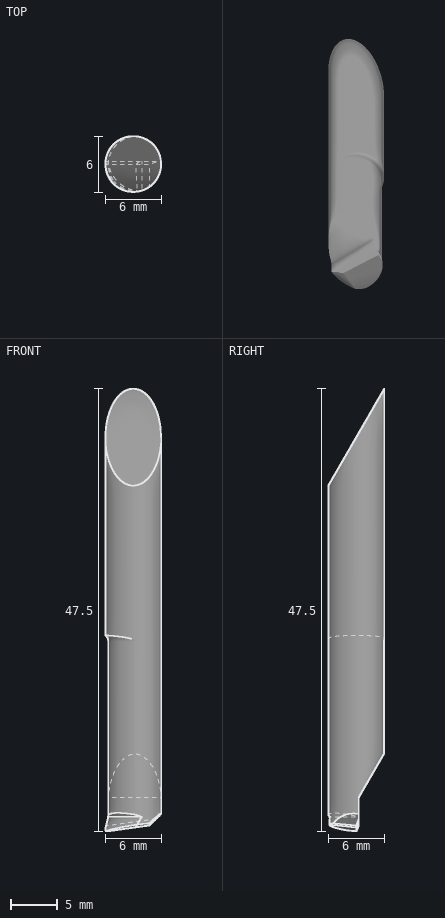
import cadquery as cq
import math

LENGTH = 47.45
BAR_RADIUS = 3.0
END_SLOPE = math.tan(math.radians(60.0))

NECK_SHIFT = 0.3
NECK_TOP = 20.4
NECK_FILLET = 0.8

FLAT_Y = 0.28
FLAT_TOP = 3.65
CHIP_FACE_HEIGHT = 0.65

END_ANGLE_X = math.radians(8.0)
END_SLOPE_X = math.tan(END_ANGLE_X)
END_SLOPE_Y = math.tan(math.radians(5.5))
CHAMFER_X = 1.72

FLANK_TOP = 1.57
FLANK_LEAN_X = 0.25
FLANK_LEAN_Y = 0.09
FLANK_CENTER_X = 0.4
FLANK_CENTER_Y = 0.51
FLARE = 0.6
FLANK_FILLET = 0.4

NOSE_RADIUS = 0.2
END_BASE_Z = NOSE_RADIUS * (1 - END_SLOPE_X - 1 / math.cos(END_ANGLE_X))
FLANK_EDGE_X = -BAR_RADIUS + NOSE_RADIUS * (1 - FLANK_LEAN_X - math.hypot(1, FLANK_LEAN_X))
FLANK_RADIUS = math.hypot(FLANK_CENTER_X - FLANK_EDGE_X, FLANK_CENTER_Y)

TIP_SIDE_TOP_X = 0.9
TIP_SIDE_BOTTOM_X = 0.4
TIP_SIDE_BOTTOM_Z = 0.7

MARGIN = 5.0
REACH = BAR_RADIUS + MARGIN
SELECT_TOLERANCE = 0.1


def bar():
    return cq.Workplane("XY").circle(BAR_RADIUS).extrude(LENGTH)


def slanted_end_cut():
    """Wedge above the slanted top face, which peaks at +Y."""
    low = LENGTH - END_SLOPE * (BAR_RADIUS + REACH)
    high = LENGTH + END_SLOPE * (REACH - BAR_RADIUS)
    return (
        cq.Workplane("YZ")
        .polyline([(-REACH, low), (REACH, high), (-REACH, high)])
        .close()
        .extrude(REACH, both=True)
    )


def neck_cut():
    """Ring around the neck cylinder, closed by a fillet at its top."""
    outer = BAR_RADIUS + NECK_FILLET
    return (
        cq.Workplane("XZ")
        .moveTo(BAR_RADIUS, FLANK_TOP)
        .lineTo(BAR_RADIUS, NECK_TOP)
        .radiusArc((outer, NECK_TOP + NECK_FILLET), NECK_FILLET)
        .lineTo(outer, FLANK_TOP)
        .close()
        .revolve(360, (0, 0, 0), (0, 1, 0))
        .translate((NECK_SHIFT, 0, 0))
    )


def end_height(x):
    """Height of the cutting edge, on the plane Y = 0."""
    return END_BASE_Z + END_SLOPE_X * (x + BAR_RADIUS)


def nose_point(center_x, angle):
    """Point (x, z) of the nose arc at an angle measured from +X toward +Z."""
    return (center_x + NOSE_RADIUS * math.cos(angle), NOSE_RADIUS * (1 + math.sin(angle)))


def end_cut():
    """Material below the rounded nose, the end face and its chamfer, all rising toward -Y."""
    nose_x = -BAR_RADIUS + NOSE_RADIUS
    flank_angle = math.atan(FLANK_LEAN_X)
    arc_start = nose_point(nose_x, math.pi + flank_angle)
    arc_end = nose_point(nose_x, 1.5 * math.pi + END_ANGLE_X)
    arc_middle = nose_point(nose_x, 1.25 * math.pi + (flank_angle + END_ANGLE_X) / 2)
    chamfer_z = end_height(CHAMFER_X)
    profile = (
        cq.Workplane("XZ")
        .moveTo(-REACH, arc_start[1])
        .lineTo(*arc_start)
        .threePointArc(arc_middle, arc_end)
        .lineTo(CHAMFER_X, chamfer_z)
        .lineTo(REACH, chamfer_z + REACH - CHAMFER_X)
        .lineTo(REACH, -REACH)
        .lineTo(-REACH, -REACH)
        .close()
        .val()
        .translate(cq.Vector(0, REACH, -REACH * END_SLOPE_Y))
    )
    sweep = cq.Vector(0, -2 * REACH, 2 * REACH * END_SLOPE_Y)
    return cq.Workplane(cq.Solid.extrudeLinear(profile, [], sweep))


def flank_section(z, extra_radius=0.0):
    """Circle of the leaning flank cylinder at height z."""
    center = cq.Vector(FLANK_CENTER_X + FLANK_LEAN_X * z, FLANK_CENTER_Y + FLANK_LEAN_Y * z, z)
    return cq.Wire.makeCircle(FLANK_RADIUS + extra_radius, center, cq.Vector(0, 0, 1))


def flank_cut():
    """Everything outside the leaning flank cylinder and its filleted run-out."""
    top = FLANK_TOP + FLARE
    wall = cq.Solid.makeLoft([flank_section(-MARGIN), flank_section(FLANK_TOP)], True)
    flare = cq.Solid.makeLoft([flank_section(FLANK_TOP), flank_section(top, FLARE)], True)
    block = cq.Workplane("XY", origin=(0, 0, -MARGIN)).circle(2 * MARGIN).extrude(top + MARGIN)
    ring = block.cut(cq.Workplane(wall)).cut(cq.Workplane(flare))
    edge_finder = cq.selectors.BoxSelector(
        (-MARGIN, -MARGIN, FLANK_TOP - SELECT_TOLERANCE), (MARGIN, MARGIN, FLANK_TOP + SELECT_TOLERANCE)
    )
    return ring.edges(edge_finder).fillet(FLANK_FILLET)


def rake_cut():
    """Material on the +Y side: above the rake flat and its slanted run-out."""
    return (
        cq.Workplane("YZ")
        .polyline([
            (FLAT_Y, -MARGIN),
            (FLAT_Y, FLAT_TOP),
            (REACH, FLAT_TOP + END_SLOPE * (REACH - FLAT_Y)),
            (REACH, -MARGIN),
        ])
        .close()
        .extrude(REACH, both=True)
    )


def chip_face_cut():
    """Prism along the cutting edge that leaves the chip face between edge and rake flat."""
    drop = FLAT_Y * MARGIN

    def section(x):
        z = end_height(x)
        steep = CHIP_FACE_HEIGHT / FLAT_Y
        return cq.Wire.makePolygon([
            cq.Vector(x, -drop, z - drop * steep),
            cq.Vector(x, FLAT_Y + drop, z + CHIP_FACE_HEIGHT + drop * steep),
            cq.Vector(x, FLAT_Y + drop, z - drop * steep),
        ], close=True)

    return cq.Workplane(cq.Solid.makeLoft([section(-REACH), section(REACH)], True))


def tip_zone():
    """Space of the cutting tip: below the flank top and on its -X side."""
    side_run = (TIP_SIDE_TOP_X - TIP_SIDE_BOTTOM_X) / (FLANK_TOP - TIP_SIDE_BOTTOM_Z)
    low_x = TIP_SIDE_TOP_X - side_run * (FLANK_TOP + MARGIN)
    return (
        cq.Workplane("XZ")
        .polyline([
            (-2 * MARGIN, FLANK_TOP),
            (TIP_SIDE_TOP_X, FLANK_TOP),
            (low_x, -MARGIN),
            (-2 * MARGIN, -MARGIN),
        ])
        .close()
        .extrude(2 * MARGIN, both=True)
    )


blank = (
    bar()
    .cut(slanted_end_cut())
    .cut(neck_cut())
    .cut(flank_cut())
    .cut(rake_cut())
    .cut(end_cut())
    .cut(chip_face_cut())
)
shank = blank.cut(tip_zone())
cutting_tip = blank.intersect(tip_zone())

result = cq.Compound.makeCompound([*shank.solids().vals(), *cutting_tip.solids().vals()])